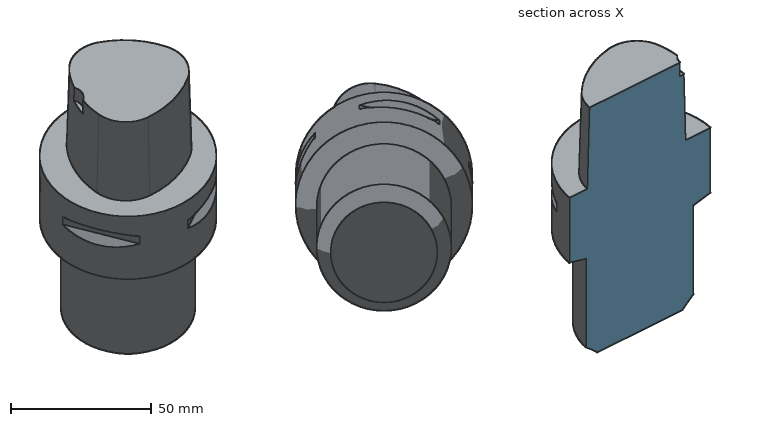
import cadquery as cq
import math

TOTAL_LENGTH = 118.0
SHANK_LENGTH = 38.0
FLANGE_STRAIGHT_LENGTH = 31.0
FLANGE_CONE_LENGTH = 2.0
BODY_CHAMFER = 5.0

FLANGE_DIAMETER = 63.0
BODY_DIAMETER = 48.0

LOBE_REACH = 23.5
FLANK_REACH = 20.5
FLANK_RADIUS = 36.5
SHANK_TAPER = 1 / 20
LOBE_COUNT = 3
FIRST_LOBE_ANGLE = 90.0

SLOT_COUNT = 4
FIRST_SLOT_ANGLE = 45.0
SLOT_DEPTH = 3.6
SLOT_FLOOR_HEIGHT = 3.6
SLOT_FLANK_ANGLE = 30.0
SLOT_CENTER_Z = -12.0

NOTCH_RADIUS = 5.4
NOTCH_DEPTH = 1.6
NOTCH_HEIGHT = 6.4

BOTTOM_Z = SHANK_LENGTH - TOTAL_LENGTH
SHANK_INSET = SHANK_TAPER * SHANK_LENGTH / 2


def polar(radius, angle):
    """Point at a distance and an angle in degrees from the axis."""
    return (radius * math.cos(math.radians(angle)), radius * math.sin(math.radians(angle)))


def turned_body():
    """Flange, conical underside and cylindrical body with its end chamfer."""
    flange_radius = FLANGE_DIAMETER / 2
    body_radius = BODY_DIAMETER / 2
    cone_bottom_z = -FLANGE_STRAIGHT_LENGTH - FLANGE_CONE_LENGTH
    return (
        cq.Workplane("XZ")
        .lineTo(flange_radius, 0)
        .lineTo(flange_radius, -FLANGE_STRAIGHT_LENGTH)
        .lineTo(body_radius, cone_bottom_z)
        .lineTo(body_radius, BOTTOM_Z + BODY_CHAMFER)
        .lineTo(body_radius - BODY_CHAMFER, BOTTOM_Z)
        .lineTo(0, BOTTOM_Z)
        .close()
        .revolve(360, (0, 0, 0), (0, 1, 0))
    )


def lobed_section(workplane, inset):
    """Three lobe arcs joined by three tangent flank arcs, moved in by an inset."""
    flank_offset = FLANK_RADIUS - FLANK_REACH
    lobe_radius = (
        FLANK_RADIUS**2 - LOBE_REACH**2 - flank_offset**2 - flank_offset * LOBE_REACH
    ) / (2 * FLANK_RADIUS - 2 * LOBE_REACH - flank_offset)
    lobe_offset = LOBE_REACH - lobe_radius

    half_pitch = 180 / LOBE_COUNT
    flank_center = polar(flank_offset, half_pitch - 180)
    arc_scale = (FLANK_RADIUS - inset) / (FLANK_RADIUS - lobe_radius)
    joint_x = flank_center[0] + (lobe_offset - flank_center[0]) * arc_scale
    joint_y = flank_center[1] - flank_center[1] * arc_scale
    joint_radius = math.hypot(joint_x, joint_y)
    joint_angle = math.degrees(math.atan2(joint_y, joint_x))

    section = workplane.moveTo(*polar(joint_radius, FIRST_LOBE_ANGLE - joint_angle))
    for index in range(LOBE_COUNT):
        lobe = FIRST_LOBE_ANGLE + index * 2 * half_pitch
        section = section.threePointArc(
            polar(LOBE_REACH - inset, lobe), polar(joint_radius, lobe + joint_angle)
        ).threePointArc(
            polar(FLANK_REACH - inset, lobe + half_pitch),
            polar(joint_radius, lobe + 2 * half_pitch - joint_angle),
        )
    return section.close()


def shank():
    """Tapered three-lobed shank standing on the contact face."""
    base = lobed_section(cq.Workplane("XY"), 0)
    top_plane = base.workplane(offset=SHANK_LENGTH)
    return lobed_section(top_plane, SHANK_INSET).loft(ruled=True)


def notch():
    """Vertical cylinder that cuts the -Y flank at the top of the shank."""
    center_y = -(FLANK_REACH - SHANK_INSET) + NOTCH_DEPTH - NOTCH_RADIUS
    return (
        cq.Workplane("XY", origin=(0, center_y, SHANK_LENGTH - NOTCH_HEIGHT))
        .circle(NOTCH_RADIUS)
        .extrude(NOTCH_HEIGHT)
    )


def gripper_slot(angle):
    """Straight slot with a flat floor and sloping flanks, cut across the flange rim."""
    rim = FLANGE_DIAMETER / 2
    floor_half = SLOT_FLOOR_HEIGHT / 2
    mouth_half = floor_half + SLOT_DEPTH * math.tan(math.radians(SLOT_FLANK_ANGLE))
    return (
        cq.Workplane("XZ", origin=(0, 0, SLOT_CENTER_Z))
        .moveTo(rim - SLOT_DEPTH, -floor_half)
        .lineTo(rim, -mouth_half)
        .lineTo(rim, mouth_half)
        .lineTo(rim - SLOT_DEPTH, floor_half)
        .close()
        .extrude(rim, both=True)
        .rotate((0, 0, 0), (0, 0, 1), angle)
    )


result = turned_body().union(shank()).cut(notch())
slot_pitch = 360 / SLOT_COUNT
for slot_index in range(SLOT_COUNT):
    result = result.cut(gripper_slot(FIRST_SLOT_ANGLE + slot_index * slot_pitch))